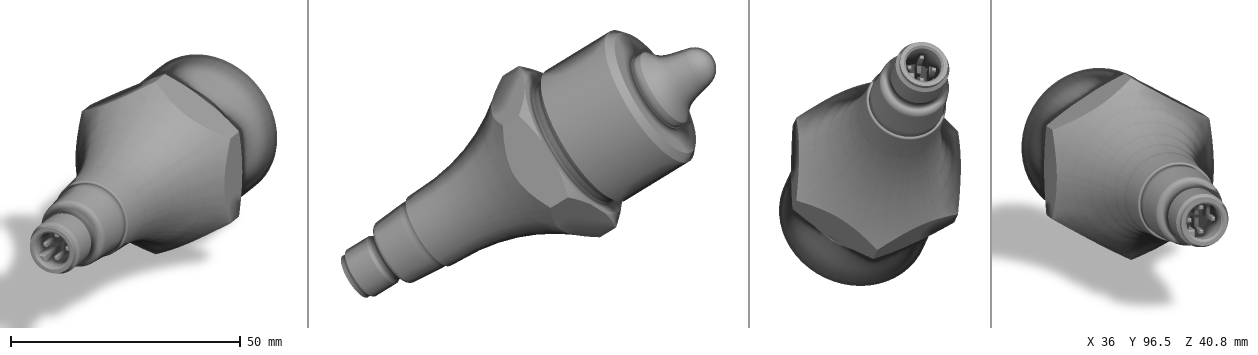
import cadquery as cq
import math


length = 96.45

plug_radius = 12.0 / 2
plug_lead_radius = 10.6 / 2
plug_lead_length = 1.0
plug_lead_chamfer = plug_radius - plug_lead_radius
plug_end_y = 7.4
neck_radius = 11.0 / 2
neck_start_y = 8.3
bore_radius = 4.0
bore_lead_width = 0.5
bore_lead_depth = 0.5
bore_depth = 8.7

pin_width = 0.9
pin_circle_radius = 2.7
pin_tip_y = 2.1
pin_tip_chamfer = 0.2
foot_bar_length = 2.7
foot_bar_height = 2.9
top_contact = (0, pin_circle_radius, -1)
bottom_contact = (0, -pin_circle_radius, 1)
left_contact = (-pin_circle_radius, 0, 1)
right_contact = (pin_circle_radius, 0, 1)
key_corner_x = -1.8
key_corner_z = -1.8
key_front_y = 0.9
key_lead_chamfer = 0.3

boot_front_y = 9.9
boot_front_radius = 7.7
boot_radius = 16.6 / 2
boot_taper_end_y = 18.0
boot_edge_radius = 1.2
neck_fillet = 0.8
collar_radius = 18.0 / 2
collar_front_radius = 8.9
collar_front_y = 19.9
collar_edge_radius = 0.4
collar_end_y = 22.9

flare_radius = 45.1
hex_across_flats = 36.0
hex_across_corners = 40.8
nut_turned_radius = 20.6
nut_back_y = 59.0
nut_back_radius = 17.9
nut_back_angle = 32.0

groove_radius = 30.2 / 2
groove_front_flare = 0.5
groove_back_y = 60.9
barrel_radius = 33.3 / 2
barrel_front_y = 62.3
barrel_front_radius = 16.1
barrel_back_y = 81.1
barrel_chamfer = 1.5

stem_radius = 8.9
stem_foot_radius = 9.2
stem_foot_height = 0.4
dome_radius = 4.7
tip_taper_angle = 13.5
tip_taper_radius = 5.7
tip_blend_radius = 7.5
shoulder_angle = 45.0


def turn(profile):
    """Revolve a closed (radius, y) profile about the Y axis."""
    return profile.close().revolve(360, (0, 0, 0), (0, 1, 0))


def arc_point(center_r, center_y, radius, degrees):
    angle = math.radians(degrees)
    return center_r + radius * math.cos(angle), center_y + radius * math.sin(angle)


def make_plug_and_boot():
    fillet_r = neck_radius + neck_fillet
    fillet_y = boot_front_y - neck_fillet
    edge_r = boot_front_radius - boot_edge_radius
    edge_y = boot_front_y + boot_edge_radius
    collar_edge_r = collar_front_radius - collar_edge_radius
    collar_edge_y = collar_front_y + collar_edge_radius
    profile = (
        cq.Workplane("XY")
        .lineTo(plug_lead_radius, 0)
        .lineTo(plug_lead_radius, plug_lead_length)
        .lineTo(plug_radius, plug_lead_length + plug_lead_chamfer)
        .lineTo(plug_radius, plug_end_y)
        .lineTo(neck_radius, neck_start_y)
        .lineTo(neck_radius, fillet_y)
        .threePointArc(arc_point(fillet_r, fillet_y, neck_fillet, 135), (fillet_r, boot_front_y))
        .lineTo(edge_r, boot_front_y)
        .threePointArc(arc_point(edge_r, edge_y, boot_edge_radius, -45), (boot_front_radius, edge_y))
        .lineTo(boot_radius, boot_taper_end_y)
        .lineTo(boot_radius, collar_front_y)
        .lineTo(collar_edge_r, collar_front_y)
        .threePointArc(
            arc_point(collar_edge_r, collar_edge_y, collar_edge_radius, -45),
            (collar_front_radius, collar_edge_y),
        )
        .lineTo(collar_radius, collar_end_y)
        .lineTo(0, collar_end_y)
    )
    return turn(profile)


def make_nut():
    """Concave flare rising from the collar, cut by the six wrench flats."""
    flare_center_r = collar_radius + flare_radius

    def flare_y(radius):
        return collar_end_y + math.sqrt(flare_radius**2 - (flare_center_r - radius) ** 2)

    middle_radius = (collar_radius + nut_turned_radius) / 2
    back_chamfer = (nut_turned_radius - nut_back_radius) * math.tan(math.radians(nut_back_angle))
    turned = turn(
        cq.Workplane("XY")
        .moveTo(0, collar_end_y)
        .lineTo(collar_radius, collar_end_y)
        .threePointArc(
            (middle_radius, flare_y(middle_radius)),
            (nut_turned_radius, flare_y(nut_turned_radius)),
        )
        .lineTo(nut_turned_radius, nut_back_y - back_chamfer)
        .lineTo(nut_back_radius, nut_back_y)
        .lineTo(0, nut_back_y)
    )

    flat_x = hex_across_flats / 2
    corner_z = hex_across_corners / 2
    side_z = corner_z - flat_x * math.tan(math.radians(30))
    hexagon = (
        cq.Workplane("XZ")
        .polyline([
            (0, corner_z),
            (flat_x, side_z),
            (flat_x, -side_z),
            (0, -corner_z),
            (-flat_x, -side_z),
            (-flat_x, side_z),
        ])
        .close()
        .extrude(-length)
    )
    return turned.intersect(hexagon)


def make_barrel():
    return turn(
        cq.Workplane("XY")
        .moveTo(0, nut_back_y)
        .lineTo(groove_radius + groove_front_flare, nut_back_y)
        .lineTo(groove_radius, nut_back_y + groove_front_flare)
        .lineTo(groove_radius, groove_back_y)
        .lineTo(barrel_front_radius, barrel_front_y)
        .lineTo(barrel_radius, barrel_front_y)
        .lineTo(barrel_radius, barrel_back_y - barrel_chamfer)
        .lineTo(barrel_radius - barrel_chamfer, barrel_back_y)
        .lineTo(0, barrel_back_y)
    )


def make_tip():
    """Stem, conical shoulder, concave blend, slender taper and tangent dome."""
    taper = math.radians(tip_taper_angle)
    shoulder = math.radians(shoulder_angle)
    dome_center_y = length - dome_radius
    dome_start_r, dome_start_y = arc_point(0, dome_center_y, dome_radius, tip_taper_angle)
    dome_middle = arc_point(0, dome_center_y, dome_radius, (90 + tip_taper_angle) / 2)
    taper_base_y = dome_start_y - (tip_taper_radius - dome_start_r) / math.tan(taper)

    blend_center_r = tip_taper_radius + tip_blend_radius * math.cos(taper)
    blend_center_y = taper_base_y + tip_blend_radius * math.sin(taper)
    blend_middle_angle = 180 + (tip_taper_angle + shoulder_angle) / 2
    blend_middle = arc_point(blend_center_r, blend_center_y, tip_blend_radius, blend_middle_angle)
    blend_start_r, blend_start_y = arc_point(
        blend_center_r, blend_center_y, tip_blend_radius, 180 + shoulder_angle
    )
    shoulder_y = blend_start_y - (stem_radius - blend_start_r) / math.tan(shoulder)

    foot_top_y = barrel_back_y + stem_foot_height
    return turn(
        cq.Workplane("XY")
        .moveTo(0, barrel_back_y)
        .lineTo(stem_foot_radius, barrel_back_y)
        .lineTo(stem_foot_radius, foot_top_y)
        .lineTo(stem_radius, foot_top_y)
        .lineTo(stem_radius, shoulder_y)
        .lineTo(blend_start_r, blend_start_y)
        .threePointArc(blend_middle, (tip_taper_radius, taper_base_y))
        .lineTo(dome_start_r, dome_start_y)
        .threePointArc(dome_middle, (0, length))
    )


def make_bore():
    return turn(
        cq.Workplane("XY")
        .lineTo(bore_radius + bore_lead_width, 0)
        .lineTo(bore_radius, bore_lead_depth)
        .lineTo(bore_radius, bore_depth)
        .lineTo(0, bore_depth)
    )


def make_contact(x, z, bar_direction):
    """Square pin with a foot bar running along Z from the pin, up (1) or down (-1)."""
    pin = (
        cq.Workplane("XZ", origin=(x, bore_depth, z))
        .rect(pin_width, pin_width)
        .extrude(bore_depth - pin_tip_y)
        .faces("<Y")
        .chamfer(pin_tip_chamfer)
    )
    bar_center_z = z + bar_direction * (foot_bar_length - pin_width) / 2
    bar = (
        cq.Workplane("XZ", origin=(x, bore_depth, bar_center_z))
        .rect(pin_width, foot_bar_length)
        .extrude(foot_bar_height)
    )
    return pin.union(bar)


def make_key():
    """Square-cornered coding key filling one lower corner of the bore."""
    block = (
        cq.Workplane("XZ", origin=(key_corner_x, bore_depth, key_corner_z))
        .rect(-bore_radius, -bore_radius, centered=False)
        .extrude(bore_depth - key_front_y)
        .faces("<Y")
        .chamfer(key_lead_chamfer)
    )
    bore_core = cq.Workplane("XZ").circle(plug_lead_radius).extrude(-bore_depth)
    return block.intersect(bore_core)


result = make_plug_and_boot().union(make_nut()).union(make_barrel()).union(make_tip())
result = result.cut(make_bore()).union(make_key())
for contact in (top_contact, bottom_contact, left_contact, right_contact):
    result = result.union(make_contact(*contact))